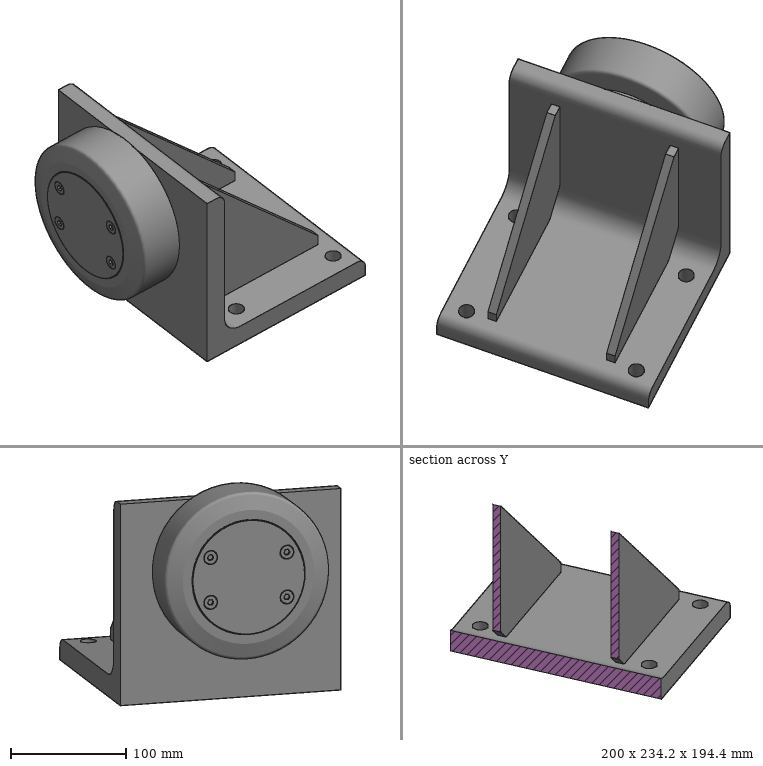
import cadquery as cq
import math

bracket_width = 200.0
leg_length = 180.0
plate_thickness = 20.0
tip_radius = 9.8
inner_radius = 18.0

rib_thickness = 8.0
rib_side_inset = 40.0
rib_tip_inset = 20.0
rib_end_height = 10.0
rib_corner_cut = 22.0

mount_hole_diameter = 13.8
mount_hole_inset = 20.0
mount_hole_spacing = 110.0

axis_height = 120.0
hub_diameter = 103.0
hub_length = 8.2
roller_diameter = 148.8
roller_face_diameter = 119.3
roller_width = 45.5
roller_bevel_depth = 4.7
roller_edge_radius = 3.0

cap_diameter = 101.3
cap_bore_diameter = 102.5
cap_projection = 0.5
gap_depth = 2.3

screw_circle_radius = 40.0
screw_angle = 30
screw_head_diameter = 11.7
screw_bore_diameter = 12.5
socket_flats = 4.7
socket_depth = 2.3

roller_back = -hub_length
roller_face = roller_back - roller_width
cap_face = roller_face - cap_projection


def disc(diameter, start_y, length, x=0, z=axis_height):
    """Cylinder extending from start_y by length toward -Y."""
    plane = cq.Workplane("XZ", origin=(x, start_y, z))
    return plane.circle(diameter / 2).extrude(length)


def make_bracket():
    profile = [
        (0, 0),
        (leg_length, 0),
        (leg_length, plate_thickness),
        (plate_thickness, plate_thickness),
        (plate_thickness, leg_length),
        (0, leg_length),
    ]
    bracket = (
        cq.Workplane("YZ")
        .polyline(profile)
        .close()
        .extrude(bracket_width / 2, both=True)
    )
    for tip in ((0, leg_length, plate_thickness), (0, plate_thickness, leg_length)):
        tip_edge = cq.selectors.NearestToPointSelector(tip)
        bracket = bracket.edges("|X").edges(tip_edge).fillet(tip_radius)
    corner = cq.selectors.NearestToPointSelector((0, plate_thickness, plate_thickness))
    return bracket.edges("|X").edges(corner).fillet(inner_radius)


def make_rib(center_x):
    inner = plate_thickness
    tip = leg_length - rib_tip_inset
    end = plate_thickness + rib_end_height
    cut = plate_thickness + rib_corner_cut
    profile = [(cut, inner), (tip, inner), (tip, end), (end, tip), (inner, tip), (inner, cut)]
    return (
        cq.Workplane("YZ", origin=(center_x, 0, 0))
        .polyline(profile)
        .close()
        .extrude(rib_thickness / 2, both=True)
    )


def make_mount_holes():
    hole_x = bracket_width / 2 - mount_hole_inset
    far_y = leg_length - mount_hole_inset
    near_y = far_y - mount_hole_spacing
    centers = [(x, y) for x in (-hole_x, hole_x) for y in (near_y, far_y)]
    return (
        cq.Workplane("XY")
        .pushPoints(centers)
        .circle(mount_hole_diameter / 2)
        .extrude(plate_thickness)
    )


def make_roller():
    radius = roller_diameter / 2
    profile = [
        (0, roller_back),
        (radius, roller_back),
        (radius, roller_face + roller_bevel_depth),
        (roller_face_diameter / 2, roller_face),
        (0, roller_face),
    ]
    roller = cq.Workplane("XY").polyline(profile).close().revolve(360, (0, 0), (0, 1))
    rim = cq.selectors.RadiusNthSelector(-1)
    roller = roller.edges(rim).fillet(roller_edge_radius)
    return roller.translate((0, 0, axis_height))


def add_cap(body):
    gap_floor = roller_face + gap_depth
    body = body.cut(disc(cap_bore_diameter, gap_floor, gap_depth))
    return body.union(disc(cap_diameter, gap_floor, gap_depth + cap_projection))


def add_screw(body, x, z):
    floor = cap_face + gap_depth
    body = body.cut(disc(screw_bore_diameter, floor, gap_depth, x, z))
    body = body.union(disc(screw_head_diameter, floor, gap_depth, x, z))
    socket_points = socket_flats / math.cos(math.radians(30))
    socket = (
        cq.Workplane("XZ", origin=(x, cap_face + socket_depth, z))
        .polygon(6, socket_points)
        .extrude(socket_depth)
    )
    return body.cut(socket)


result = make_bracket().cut(make_mount_holes())

rib_x = bracket_width / 2 - rib_side_inset - rib_thickness / 2
for side in (-1, 1):
    result = result.union(make_rib(side * rib_x))

result = result.union(disc(hub_diameter, 0, hub_length)).union(make_roller())
result = add_cap(result)

screw_x = screw_circle_radius * math.cos(math.radians(screw_angle))
screw_z = screw_circle_radius * math.sin(math.radians(screw_angle))
for x_side in (-1, 1):
    for z_side in (-1, 1):
        result = add_screw(result, x_side * screw_x, axis_height + z_side * screw_z)